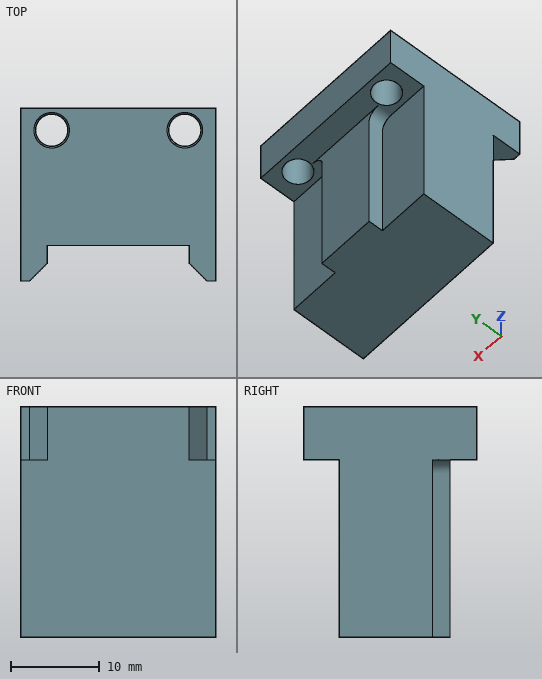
import cadquery as cq

width = 22.0
total_height = 26.0
flange_depth = 19.5
flange_thickness = 6.0

lug_length = 4.0
lug_width = 3.0
lug_chamfer = 2.0

body_back_inset = 5.0

rib_back_inset = 3.0
rib_width = 8.0
rib_fillet = 1.5

hole_diameter = 3.6
hole_spacing = 15.0
hole_back_inset = 2.5
hole_chamfer = 0.2
countersink_angle = 90.0

edge_reach = 0.1

lug_tip_y = -flange_depth
front_y = lug_tip_y + lug_length
lug_inner_x = width / 2 - lug_width
body_height = total_height - flange_thickness


def make_flange():
    """Plate with a front lug at each side, each chamfered on its inner corner."""
    half_outline = [
        (0, 0),
        (width / 2, 0),
        (width / 2, lug_tip_y),
        (lug_inner_x + lug_chamfer, lug_tip_y),
        (lug_inner_x, lug_tip_y + lug_chamfer),
        (lug_inner_x, front_y),
        (0, front_y),
    ]
    half = cq.Workplane("XY").polyline(half_outline).close().extrude(-flange_thickness)
    return half.union(half.mirror("YZ"))


def make_block(block_width, back_inset):
    """Block below the flange, from the front face to an inset from the back face."""
    block_depth = -back_inset - front_y
    block = cq.Workplane("XY").box(
        block_width, block_depth, body_height, centered=(True, False, False)
    )
    return block.translate((0, front_y, -total_height))


def round_rib_roots(part):
    """Fillet both corners where the rib sides meet the underside of the flange."""
    rib_roots = cq.selectors.BoxSelector(
        (-rib_width / 2 - edge_reach, -body_back_inset, -flange_thickness - edge_reach),
        (rib_width / 2 + edge_reach, -rib_back_inset, -flange_thickness + edge_reach),
    )
    return part.edges("|Y").edges(rib_roots).fillet(rib_fillet)


def drill_screw_holes(part):
    """Drill the two screw holes through the flange and chamfer their top rims."""
    return (
        part.faces(">Z")
        .workplane(origin=(0, 0, 0))
        .pushPoints([(side * hole_spacing / 2, -hole_back_inset) for side in (-1, 1)])
        .cskHole(hole_diameter, hole_diameter + 2 * hole_chamfer, countersink_angle, flange_thickness)
    )


body = make_block(width, body_back_inset)
rib = make_block(rib_width, rib_back_inset)
block = make_flange().union(body).union(rib).clean()
result = drill_screw_holes(round_rib_roots(block))